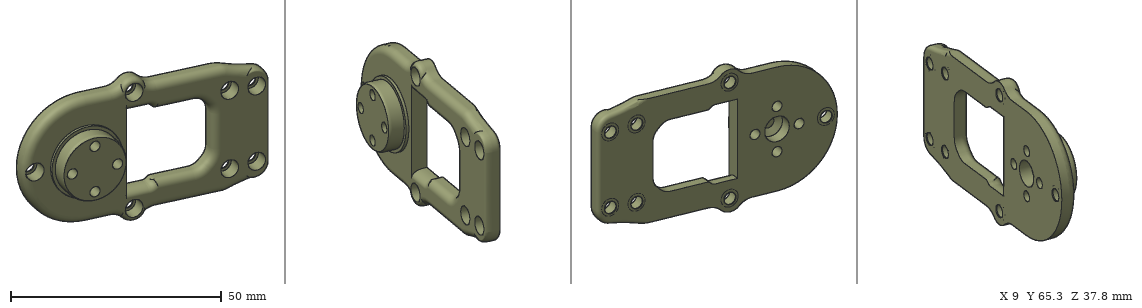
import cadquery as cq
import math

length = 65.3
lug_span = 37.8
total_thickness = 9.0

plate_thickness = 4.2
plate_half_width = 16.45
far_end_y = length - plate_half_width
front_edge_radius = 1.95

corner_radius = 4.0
corner_z = 10.5
corner_turn = math.radians(8.6)
flank_radius = 47.0
taper_blend_radius = 4.0
back_edge_radius = 1.05
envelope_turn = math.radians(35)
end_edge_depth = 1.8
end_edge_inset = 0.65

lug_y = 12.8
lug_radius = 3.5
lug_z = lug_span / 2 - lug_radius
lug_blend_radius = 5.0
lug_edge_depth = 1.55
lug_edge_inset = 1.0

window_near_y = 10.8
window_far_y = 33.8
window_wide_half = 10.5
window_narrow_half = 9.55
window_step_start_y = 16.9
window_step_end_y = 19.2
window_corner_cut = 3.15
window_corner_radius = 4.0
narrow_rim_radius = 1.95
wide_rim_depth = 3.0
wide_rim_flare = 1.8

shoulder_radius = 9.4
shoulder_height = 0.8
boss_radius = 8.55
boss_edge_depth = 0.8
boss_edge_inset = 0.3

fixing_hole_diameter = 3.2
fixing_bore_diameter = 4.65
fixing_lip = 0.295
tip_hole = (-13.45, 0)
side_holes = [(lug_y, lug_z), (38.2, 10.4), (45.4, 10.0)]
fixing_holes = [tip_hole] + side_holes + [(y, -z) for y, z in side_holes]

boss_hole_diameter = 2.7
boss_hole_offset = 6.0
boss_holes = [
    (boss_hole_offset, 0),
    (0, boss_hole_offset),
    (-boss_hole_offset, 0),
    (0, -boss_hole_offset),
]
socket_radius = 3.3
socket_straight_depth = 3.3
socket_floor_radius = 1.55
socket_depth = 4.4


def plane_at(x):
    """Workplane facing +X, whose local axes are Y and Z."""
    return cq.Workplane("YZ", origin=(x, 0, 0))


def polar(centre, radius, angle):
    """Point at an angle measured from +Z towards +Y."""
    return (centre[0] + radius * math.sin(angle), centre[1] + radius * math.cos(angle))


corner_centre = (far_end_y - corner_radius, corner_z)
flank_centre = polar(corner_centre, corner_radius + flank_radius, corner_turn)


def flank_point(turn):
    """Point of the flank arc where it slopes by the given angle."""
    return polar(flank_centre, -flank_radius, turn)


def add_far_end(path, start_turn):
    """Continue a path along the flank and corner to the middle of the far end."""
    return (
        path.threePointArc(flank_point((start_turn + corner_turn) / 2), flank_point(corner_turn))
        .threePointArc(
            polar(corner_centre, corner_radius, (corner_turn + math.pi / 2) / 2),
            (far_end_y, corner_z),
        )
        .lineTo(far_end_y, 0)
    )


def plate_outline():
    """Closed outline of the plate, with both lugs and the tapered far end."""
    blend_z = plate_half_width + lug_blend_radius
    blend_turn = math.acos((blend_z - lug_z) / (lug_radius + lug_blend_radius))
    lug_centre = (lug_y, lug_z)
    near_blend = polar(lug_centre, lug_radius + lug_blend_radius, -blend_turn)
    far_blend = polar(lug_centre, lug_radius + lug_blend_radius, blend_turn)

    taper_z = plate_half_width - taper_blend_radius
    taper_turn = math.acos((flank_centre[1] - taper_z) / (flank_radius + taper_blend_radius))
    taper_centre = polar(flank_centre, -(flank_radius + taper_blend_radius), taper_turn)

    path = (
        plane_at(0)
        .moveTo(-plate_half_width, 0)
        .threePointArc(polar((0, 0), plate_half_width, -math.pi / 4), (0, plate_half_width))
        .lineTo(near_blend[0], plate_half_width)
        .threePointArc(
            polar(near_blend, -lug_blend_radius, -blend_turn / 2),
            polar(lug_centre, lug_radius, -blend_turn),
        )
        .threePointArc((lug_y, lug_span / 2), polar(lug_centre, lug_radius, blend_turn))
        .threePointArc(
            polar(far_blend, -lug_blend_radius, blend_turn / 2),
            (far_blend[0], plate_half_width),
        )
        .lineTo(taper_centre[0], plate_half_width)
        .threePointArc(
            polar(taper_centre, taper_blend_radius, taper_turn / 2),
            flank_point(taper_turn),
        )
    )
    return add_far_end(path, taper_turn).mirrorX()


def edge_profile(plane, reach, depth, inset):
    """Section from an axis out to a wall, through the plate thickness.

    The front end of the wall is a quarter ellipse turning in by inset over depth;
    a negative inset flares the wall outwards.
    """
    start_angle, end_angle = (0, 90) if inset > 0 else (90, 180)
    direction = 1 if inset > 0 else -1
    return (
        cq.Workplane(plane)
        .lineTo(reach, 0)
        .lineTo(reach, plate_thickness - depth)
        .ellipseArc(abs(inset), depth, start_angle, end_angle, sense=direction)
        .lineTo(0, plate_thickness)
        .close()
    )


def edge_disc(centre, radius, depth, inset):
    """Disc through the plate with an elliptical front edge."""
    plane = cq.Plane((0, *centre), xDir=(0, 1, 0), normal=(0, 0, -1))
    return edge_profile(plane, radius, depth, inset).revolve(360, (0, 0), (0, 1))


def both_sides(body):
    """Body joined with its mirror image across Z = 0."""
    return body.union(body.mirror("XY"))


def make_plate():
    """Plate with rounded front edge; the lugs and the far end keep a fuller edge."""
    plate = plate_outline().extrude(plate_thickness)
    plate = plate.faces(">X").edges().fillet(front_edge_radius)
    lug = edge_disc((lug_y, lug_z), lug_radius, lug_edge_depth, lug_edge_inset)
    corner = edge_disc(corner_centre, corner_radius, end_edge_depth, end_edge_inset)
    end_plane = cq.Plane((0, corner_centre[0], 0), xDir=(0, 1, 0), normal=(0, 0, -1))
    end_bar = edge_profile(end_plane, corner_radius, end_edge_depth, end_edge_inset)
    end_bar = end_bar.extrude(corner_z, both=True)
    return plate.union(both_sides(lug)).union(both_sides(corner)).union(end_bar)


def make_far_end_envelope():
    """Oversize block whose back edge is rounded along the far end and its flanks."""
    start = flank_point(envelope_turn)
    path = plane_at(0).moveTo(-length, 0).lineTo(-length, start[1]).lineTo(*start)
    envelope = add_far_end(path, envelope_turn).mirrorX().extrude(plate_thickness)
    return envelope.faces("<X").edges().fillet(back_edge_radius)


def slotted_opening(slot, rim_radius):
    """Opening left by a slot whose front rim is rounded, ending square at the near side."""
    slab = plane_at(0).rect(3 * length, 2 * length).extrude(plate_thickness)
    slab = slab.cut(slot.extrude(plate_thickness)).faces(">X").edges().fillet(rim_radius)
    block = (
        plane_at(0)
        .moveTo(window_near_y, -length / 2)
        .lineTo(length, -length / 2)
        .lineTo(length, length / 2)
        .lineTo(window_near_y, length / 2)
        .close()
        .extrude(plate_thickness)
    )
    return block.cut(slab)


def make_narrow_opening():
    """Full length of the window at its narrow width."""
    corner_reach = window_corner_radius * math.tan(math.pi / 8)
    corner_offset = corner_reach * math.sqrt(0.5)
    cut_y = window_far_y - window_corner_cut
    cut_z = window_narrow_half - window_corner_cut
    side_arc_centre = (cut_y - corner_reach, window_narrow_half - window_corner_radius)
    end_arc_centre = (window_far_y - window_corner_radius, cut_z - corner_reach)
    slot = (
        plane_at(0)
        .moveTo(-2 * length, 0)
        .lineTo(-2 * length, window_narrow_half)
        .lineTo(side_arc_centre[0], window_narrow_half)
        .threePointArc(
            polar(side_arc_centre, window_corner_radius, math.pi / 8),
            (cut_y + corner_offset, window_narrow_half - corner_offset),
        )
        .lineTo(window_far_y - corner_offset, cut_z + corner_offset)
        .threePointArc(
            polar(end_arc_centre, window_corner_radius, 3 * math.pi / 8),
            (window_far_y, end_arc_centre[1]),
        )
        .lineTo(window_far_y, 0)
        .mirrorX()
    )
    return slotted_opening(slot, narrow_rim_radius)


step_length = window_step_end_y - window_step_start_y
step_height = window_wide_half - window_narrow_half
step_turn = 2 * math.atan(step_height / step_length)
step_radius = step_length / (2 * math.sin(step_turn))
step_start_centre = (window_step_start_y, window_wide_half - step_radius)
step_end_centre = (window_step_end_y, window_narrow_half + step_radius)
step_middle = polar(step_start_centre, step_radius, step_turn)


def make_wide_rim():
    """Flared front rim along the wide part of the window, turning the first step arc."""
    plane = cq.Plane((0, window_near_y, 0), xDir=(0, 0, 1), normal=(0, 1, 0))
    straight = edge_profile(plane, window_wide_half, wide_rim_depth, -wide_rim_flare)
    straight = straight.extrude(window_step_start_y - window_near_y)
    turn = edge_disc(step_start_centre, step_radius, wide_rim_depth, -wide_rim_flare)
    return both_sides(straight.union(turn))


def make_step_opening():
    """Straight-walled stretch of the window that carries the full step outline."""
    return (
        plane_at(0)
        .moveTo(window_near_y, 0)
        .lineTo(window_near_y, window_wide_half)
        .lineTo(window_step_start_y, window_wide_half)
        .threePointArc(polar(step_start_centre, step_radius, step_turn / 2), step_middle)
        .threePointArc(
            polar(step_end_centre, -step_radius, step_turn / 2),
            (window_step_end_y, window_narrow_half),
        )
        .lineTo(window_step_end_y, 0)
        .mirrorX()
        .extrude(plate_thickness)
    )


def make_boss():
    """Low shoulder carrying the round boss, whose front edge curves slightly inwards."""
    shoulder_x = plate_thickness + shoulder_height
    return (
        cq.Workplane("XY")
        .moveTo(plate_thickness, 0)
        .lineTo(plate_thickness, shoulder_radius)
        .lineTo(shoulder_x, shoulder_radius)
        .lineTo(shoulder_x, boss_radius)
        .lineTo(total_thickness - boss_edge_depth, boss_radius)
        .tangentArcPoint((total_thickness, boss_radius - boss_edge_inset), relative=False)
        .lineTo(total_thickness, 0)
        .close()
        .revolve(360, (0, 0, 0), (1, 0, 0))
    )


def make_socket():
    """Blind bore from the back: straight, then tapering to a flat floor."""
    return (
        cq.Workplane("XZ")
        .polyline([
            (0, 0),
            (0, -socket_radius),
            (socket_straight_depth, -socket_radius),
            (socket_depth, -socket_floor_radius),
            (socket_depth, 0),
        ])
        .close()
        .revolve(360, (0, 0, 0), (1, 0, 0))
    )


def make_holes(points, diameter, start_x=0):
    """Holes along X that run from start_x out through the front."""
    return plane_at(start_x).pushPoints(points).circle(diameter / 2).extrude(total_thickness)


result = (
    make_plate()
    .intersect(make_far_end_envelope())
    .cut(make_narrow_opening())
    .cut(make_wide_rim())
    .cut(make_step_opening())
    .union(make_boss())
    .cut(make_socket())
    .cut(make_holes(fixing_holes, fixing_hole_diameter))
    .cut(make_holes(fixing_holes, fixing_bore_diameter, fixing_lip))
    .cut(make_holes(boss_holes, boss_hole_diameter))
)